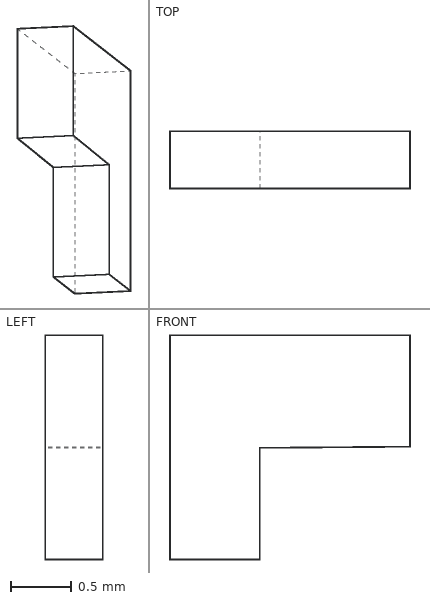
import cadquery as cq

length = 2.0
thickness = 0.48
height = 1.87

leg_width = 0.75
arm_depth_inner = 0.94
arm_depth_end = 0.93


def make_bracket():
    """Flat L-shaped plate: a leg hanging from one end of a slightly tapered arm."""
    profile = [
        (0, 0),
        (leg_width, 0),
        (leg_width, height - arm_depth_inner),
        (length, height - arm_depth_end),
        (length, height),
        (0, height),
    ]
    return cq.Workplane("XZ").polyline(profile).close().extrude(-thickness)


result = make_bracket()